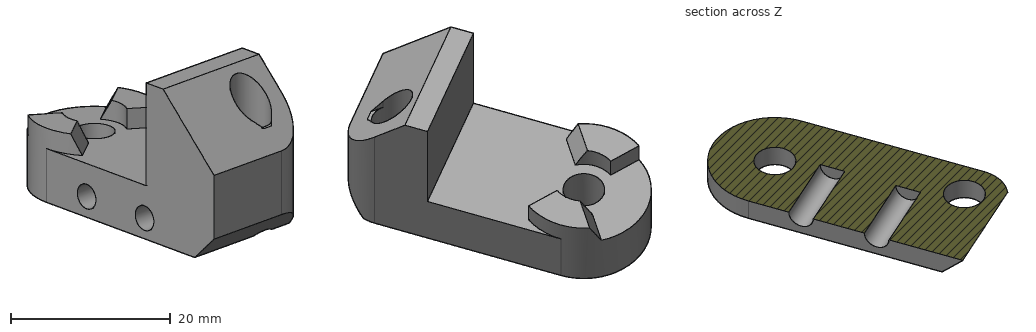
import cadquery as cq
import math

WIDTH = 16.9
END_RADIUS = WIDTH / 2
LENGTH = 38.26
HEIGHT = 21.09
ARM_THICKNESS = 7.25
FAR_X = LENGTH - END_RADIUS
PIVOT_DIAMETER = 5.2

WALL_X = 17.75
WALL_TOP_WIDTH = 3.0
SLOPE_START_X = WALL_X + WALL_TOP_WIDTH
SLOPE_DROP = FAR_X - SLOPE_START_X
BOTTOM_CHAMFER = 3.45
CORNER_RADIUS = 5.0

WALL_HOLE_DIAMETER = 5.2
WALL_HOLE_EDGE_DISTANCE = 5.5
WALL_HOLE_X = FAR_X - WALL_HOLE_EDGE_DISTANCE
WALL_HOLE_Y = WIDTH / 2 - CORNER_RADIUS
TEARDROP_FLOOR_Z = 14.5

SIDE_HOLE_DIAMETER = 3.3
SIDE_HOLE_DEPTH = 10.0
SIDE_HOLE_Z = 2.8
FIRST_SIDE_HOLE_X = 7.15
SIDE_HOLE_SPACING = 10.3
SIDE_HOLE_COUNT = 2

TOOTH_INNER_RADIUS = 4.1
TOOTH_HEIGHT = 2.75
TOOTH_COUNT = 2
TOOTH_ANGLE = 70.0
TOOTH_SLOPE_RUN = 1.5


def make_body():
    """Side profile swept across the width, with the end and corner rounded."""
    profile = [
        (-END_RADIUS, 0),
        (FAR_X - BOTTOM_CHAMFER, 0),
        (FAR_X, BOTTOM_CHAMFER),
        (FAR_X, HEIGHT - SLOPE_DROP),
        (SLOPE_START_X, HEIGHT),
        (WALL_X, HEIGHT),
        (WALL_X, ARM_THICKNESS),
        (-END_RADIUS, ARM_THICKNESS),
    ]
    swept = cq.Workplane("XZ").polyline(profile).close().extrude(WIDTH / 2, both=True)
    outline = (
        cq.Workplane("XY")
        .moveTo(0, -END_RADIUS)
        .lineTo(FAR_X, -END_RADIUS)
        .lineTo(FAR_X, END_RADIUS - CORNER_RADIUS)
        .radiusArc((FAR_X - CORNER_RADIUS, END_RADIUS), -CORNER_RADIUS)
        .lineTo(0, END_RADIUS)
        .threePointArc((-END_RADIUS, 0), (0, -END_RADIUS))
        .close()
        .extrude(HEIGHT)
    )
    return swept.intersect(outline)


def make_tooth():
    """Ring sector centred on -Y; its flank on the +X side leans inwards going up."""
    ring = (
        cq.Workplane("XY")
        .workplane(offset=ARM_THICKNESS)
        .circle(END_RADIUS)
        .circle(TOOTH_INNER_RADIUS)
        .extrude(TOOTH_HEIGHT)
    )
    half_width = END_RADIUS * math.tan(math.radians(TOOTH_ANGLE / 2))
    wedge = (
        cq.Workplane("XY")
        .workplane(offset=ARM_THICKNESS)
        .polyline([(0, 0), (-half_width, -END_RADIUS), (half_width, -END_RADIUS)])
        .close()
        .extrude(TOOTH_HEIGHT)
    )
    flank_cut = (
        cq.Workplane("XZ")
        .polyline(
            [
                (0, ARM_THICKNESS),
                (0, ARM_THICKNESS + TOOTH_HEIGHT),
                (-TOOTH_SLOPE_RUN, ARM_THICKNESS + TOOTH_HEIGHT),
            ]
        )
        .close()
        .extrude(WIDTH)
        .rotate((0, 0, 0), (0, 0, 1), TOOTH_ANGLE / 2)
    )
    return ring.intersect(wedge).cut(flank_cut)


def make_wall_hole():
    """Round hole through the wall plus the pointed teardrop stretch above its floor."""
    radius = WALL_HOLE_DIAMETER / 2
    tangent_offset = radius / math.sqrt(2)
    tip_offset = radius * math.sqrt(2)
    hole = cq.Workplane("XY").center(WALL_HOLE_X, WALL_HOLE_Y).circle(radius).extrude(HEIGHT)
    teardrop = (
        cq.Workplane("XY")
        .workplane(offset=TEARDROP_FLOOR_Z)
        .center(WALL_HOLE_X, WALL_HOLE_Y)
        .moveTo(tangent_offset, tangent_offset)
        .threePointArc((-radius, 0), (tangent_offset, -tangent_offset))
        .lineTo(tip_offset, 0)
        .close()
        .extrude(HEIGHT - TEARDROP_FLOOR_Z)
    )
    return hole.union(teardrop)


def make_side_hole(x):
    """Blind hole entering the -Y side at the given X."""
    return (
        cq.Workplane("XZ", origin=(x, -WIDTH / 2, SIDE_HOLE_Z))
        .circle(SIDE_HOLE_DIAMETER / 2)
        .extrude(-SIDE_HOLE_DEPTH)
    )


result = make_body()

tooth = make_tooth()
for index in range(TOOTH_COUNT):
    result = result.union(tooth.rotate((0, 0, 0), (0, 0, 1), index * 360 / TOOTH_COUNT))

pivot_hole = cq.Workplane("XY").circle(PIVOT_DIAMETER / 2).extrude(ARM_THICKNESS)
result = result.cut(pivot_hole)
result = result.cut(make_wall_hole())

for index in range(SIDE_HOLE_COUNT):
    result = result.cut(make_side_hole(FIRST_SIDE_HOLE_X + index * SIDE_HOLE_SPACING))